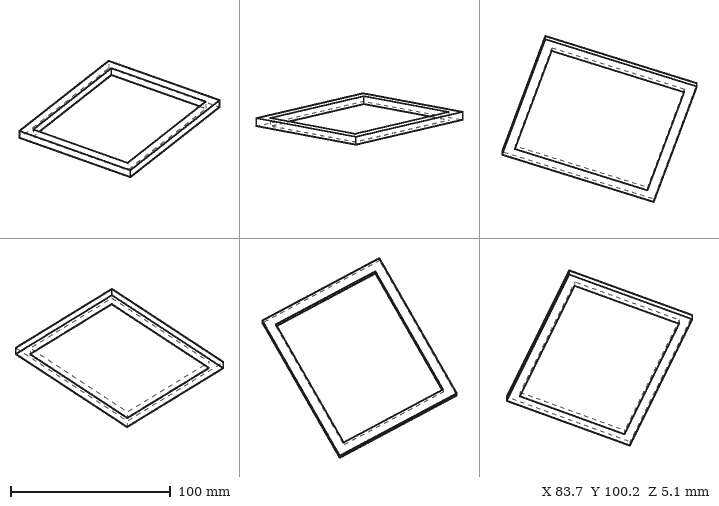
import cadquery as cq

width = 83.7
length = 100.2
height = 5.1

border = 6.3
panel_thickness = 0.15

opening_width = width - 2 * border
opening_length = length - 2 * border


def upright_block(size_x, size_y, size_z):
    """Block centred on the Z axis, standing on the XY plane."""
    return cq.Workplane("XY").box(size_x, size_y, size_z, centered=(True, True, False))


def make_frame():
    """Rectangular frame with an opening right through it."""
    outer = upright_block(width, length, height)
    opening = upright_block(opening_width, opening_length, height)
    return outer.cut(opening)


def make_panel():
    """Thin flat panel filling the opening, flush with the underside of the frame."""
    return upright_block(opening_width, opening_length, panel_thickness)


frame = make_frame()
panel = make_panel()

result = cq.Compound.makeCompound([frame.val(), panel.val()])